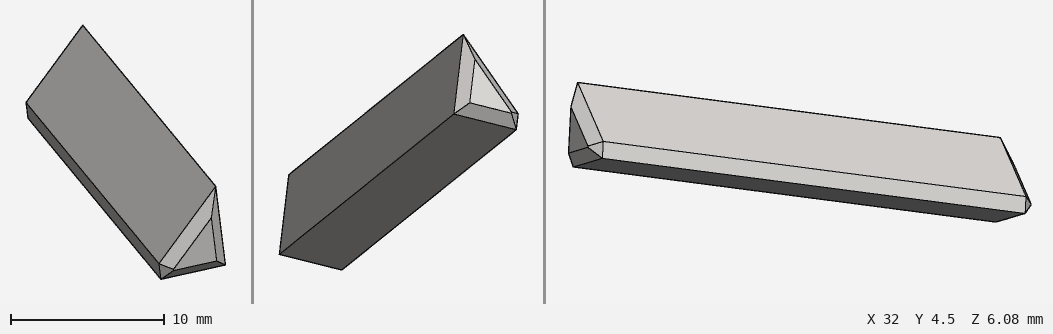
import cadquery as cq
import math

length = 32.0
base_width = 4.4
back_height = 5.6
front_height = 1.12
tilt = 6.8
end_chamfer = 0.75

tilt_sine = math.sin(math.radians(tilt))
tilt_cosine = math.cos(math.radians(tilt))
depth = base_width * tilt_cosine + front_height * tilt_sine
height = back_height * tilt_cosine + base_width * tilt_sine

profile = [
    (0, 0),
    (0, back_height),
    (-base_width, front_height),
    (-base_width, 0),
]
bar = cq.Workplane("YZ").polyline(profile).close().extrude(length / 2, both=True)

bar = bar.faces("<X or >X").edges().chamfer(end_chamfer)

back_corner = (0, depth / 2, base_width * tilt_sine - height / 2)
result = bar.rotate((0, 0, 0), (1, 0, 0), tilt).translate(back_corner)